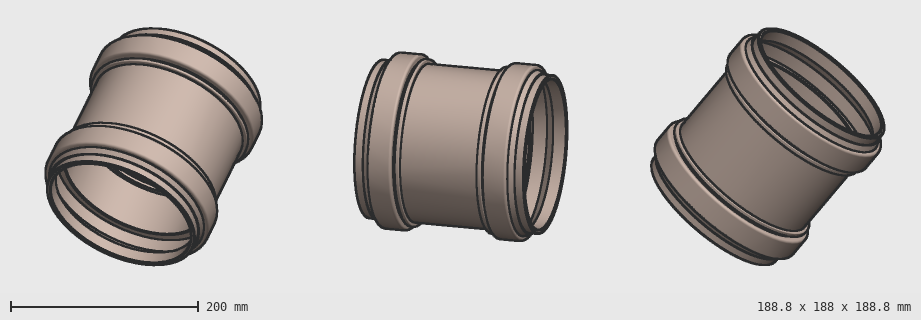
import cadquery as cq

length = 188.0
half_length = length / 2

pipe_radius = 170.1 / 2
cone_small_radius = 86.0
cone_large_radius = 178.0 / 2
neck_radius = 85.9
bell_radius = 188.8 / 2
ring_radius = 179.4 / 2

socket_radius = 161.0 / 2
bore_radius = 150.7 / 2
middle_radius = 160.7 / 2
groove_radius = 179.4 / 2

cone_start = 10.0
bell_start = 17.0
bell_end = 43.6
neck_end = 45.0
ring_start = 46.3
ring_end = 51.2
flare_start = 14.7
groove_start = 24.2
groove_end = 39.8
stop_width = 5.0

bell_fillet = 2.8
ring_fillet = 1.0
mouth_chamfer = 0.8
pipe_seat_chamfer = 1.0


def tapered_disc(start_radius, end_radius, start, end):
    """Conical disc on the Y axis between two distances from the -Y end."""
    outline = [
        (0, start - half_length),
        (start_radius, start - half_length),
        (end_radius, end - half_length),
        (0, end - half_length),
    ]
    return cq.Workplane("XY").polyline(outline).close().revolve(360, (0, 0, 0), (0, 1, 0))


def disc(radius, start, end):
    """Cylindrical disc on the Y axis between two distances from the -Y end."""
    return tapered_disc(radius, radius, start, end)


def both_ends(feature):
    """A -Y end feature together with its mirror image at the +Y end."""
    return feature.union(feature.mirror("XZ"))


def bell():
    """Rounded gasket housing."""
    return disc(bell_radius, bell_start, bell_end).edges().fillet(bell_fillet)


def cone():
    """Tapered shoulder that leads up to the bell."""
    return tapered_disc(cone_small_radius, cone_large_radius, cone_start, bell_start)


def ring():
    """Thin rib next to the bell."""
    return disc(ring_radius, ring_start, ring_end).edges().fillet(ring_fillet)


def neck():
    """Short collar between the bell and the rib."""
    return disc(neck_radius, bell_end, neck_end)


def socket():
    """Socket cavity: mouth, flare, gasket groove and the chamfered edge of the inner pipe."""
    mouth = disc(socket_radius, 0, flare_start)
    flare = tapered_disc(socket_radius, groove_radius, flare_start, groove_start)
    groove = disc(groove_radius, groove_start, groove_end)
    chamfer_end = groove_end + pipe_seat_chamfer
    seat = tapered_disc(middle_radius + pipe_seat_chamfer, middle_radius, groove_end, chamfer_end)
    passage = disc(middle_radius, chamfer_end, (length - stop_width) / 2)
    return mouth.union(flare).union(groove).union(seat).union(passage)


result = disc(pipe_radius, 0, length)
for feature in (bell(), cone(), neck(), ring()):
    result = result.union(both_ends(feature))
result = result.cut(disc(bore_radius, 0, length)).cut(both_ends(socket()))
result = result.faces("<Y or >Y").edges().chamfer(mouth_chamfer)